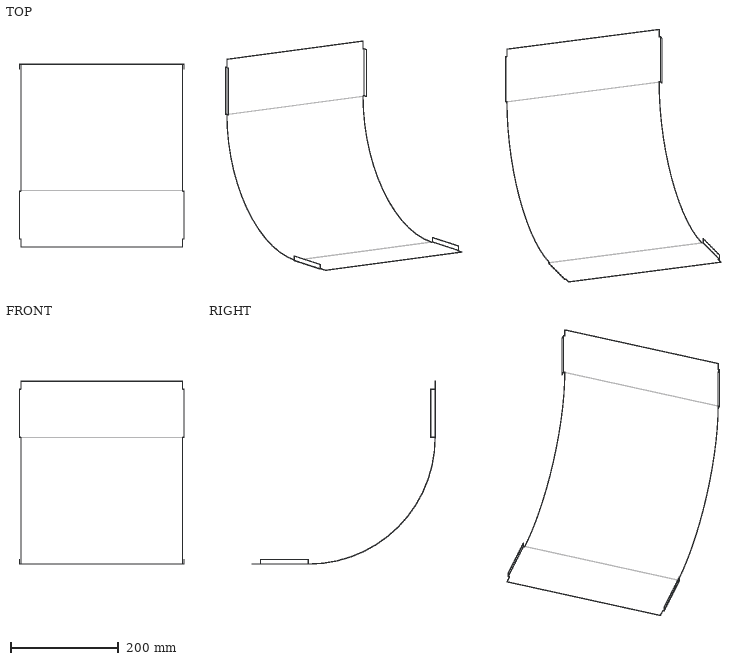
import cadquery as cq
import math

overall_size = 339.5
sheet_width = 300.0
overall_width = 305.0
thickness = 0.5
end_length = 105.0
lip_length = 89.2
lip_height = 8.8
lip_gap = 0.7

outer_radius = overall_size - end_length
inner_radius = outer_radius - thickness
side_overhang = (overall_width - sheet_width) / 2

bend_y = -outer_radius
bend_z = outer_radius


def bend_midpoint(radius):
    """Point halfway round the quarter bend at the given radius."""
    offset = radius * math.sqrt(0.5)
    return bend_y + offset, bend_z - offset


def make_sheet():
    """Constant-thickness sheet: flat floor, quarter bend and upright wall."""
    profile = (
        cq.Workplane("YZ")
        .moveTo(-overall_size, 0)
        .lineTo(bend_y, 0)
        .threePointArc(bend_midpoint(outer_radius), (0, bend_z))
        .lineTo(0, overall_size)
        .lineTo(-thickness, overall_size)
        .lineTo(-thickness, bend_z)
        .threePointArc(bend_midpoint(inner_radius), (bend_y, thickness))
        .lineTo(-overall_size, thickness)
        .close()
    )
    return profile.extrude(sheet_width / 2, both=True)


def make_floor_lip():
    """L-shaped lip on the +X edge of the floor, just in front of the bend."""
    outer_x = overall_width / 2
    root_x = outer_x - side_overhang - thickness
    return (
        cq.Workplane("XZ", origin=(0, bend_y - lip_gap, 0))
        .moveTo(root_x, 0)
        .lineTo(outer_x, 0)
        .lineTo(outer_x, lip_height)
        .lineTo(outer_x - thickness, lip_height)
        .lineTo(outer_x - thickness, thickness)
        .lineTo(root_x, thickness)
        .close()
        .extrude(lip_length)
    )


def swap_ends(body):
    """Mirror across the plane Z = -Y, which exchanges the floor and the wall."""
    return body.mirror((0, 1, 1))


result = make_sheet()
floor_lip = make_floor_lip()
for lip in (floor_lip, floor_lip.mirror("YZ")):
    result = result.union(lip).union(swap_ends(lip))